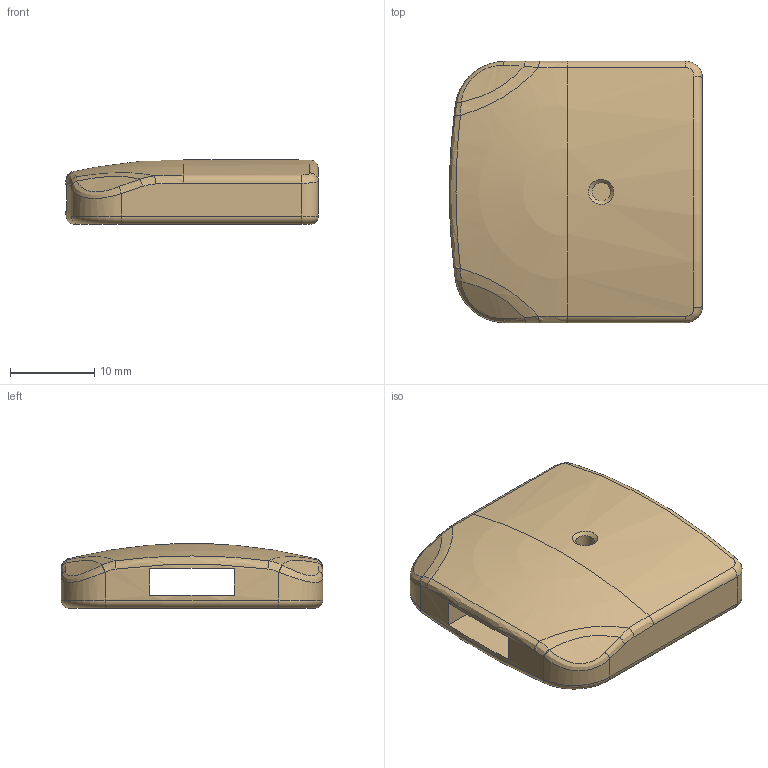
import cadquery as cq
import math

length = 30.0
width = 31.0
height = 7.7
nose_radius = 77.0
nose_corner_radius = 6.0
tail_corner_radius = 2.0
crown_radius = 60.0
crown_split_x = -1.0
rim_fillet = 1.0
base_fillet = 1.0

facet_point = (-10.0, 11.2, 5.95)
facet_heading = 57.5
facet_slope = 26.0
facet_radius = 18.0
facet_uphill_angle = math.radians(8.0)
facet_downhill_angle = math.radians(40.0)
facet_crease_fillet = 5.0

slot_width = 10.0
slot_height = 3.2
slot_floor = 1.55
hole_x = 3.0
hole_diameter = 2.2
hole_mouth_diameter = 3.0

nose_x = -length / 2
tail_x = length / 2
side_y = width / 2
tool_size = 4 * length


def plan_outline():
    """Closed plan outline: bulged nose, large nose corners, square tail corners."""
    corner_y = side_y - nose_corner_radius
    nose_center_x = nose_x + nose_radius
    center_gap = nose_radius - nose_corner_radius
    touch_angle = math.asin(corner_y / center_gap)
    corner_x = nose_center_x - center_gap * math.cos(touch_angle)
    touch_x = nose_center_x - nose_radius * math.cos(touch_angle)
    touch_y = nose_radius * math.sin(touch_angle)
    mid_angle = (touch_angle + math.pi / 2) / 2
    mid_x = corner_x - nose_corner_radius * math.cos(mid_angle)
    mid_y = corner_y + nose_corner_radius * math.sin(mid_angle)
    return (
        cq.Workplane("XY")
        .moveTo(touch_x, -touch_y)
        .threePointArc((nose_x, 0), (touch_x, touch_y))
        .threePointArc((mid_x, mid_y), (corner_x, side_y))
        .lineTo(tail_x, side_y)
        .lineTo(tail_x, -side_y)
        .lineTo(corner_x, -side_y)
        .threePointArc((mid_x, -mid_y), (touch_x, -touch_y))
        .close()
    )


def crown_profile(first_y, top_mid_y, last_y):
    """Upright section in the YZ plane at the split, closed at the top by the crown arc."""
    def crown_z(y):
        return height - crown_radius + math.sqrt(crown_radius**2 - y**2)

    return (
        cq.Workplane("YZ", origin=(crown_split_x, 0, 0))
        .moveTo(first_y, 0)
        .lineTo(first_y, crown_z(first_y))
        .threePointArc((top_mid_y, crown_z(top_mid_y)), (last_y, crown_z(last_y)))
        .lineTo(last_y, 0)
        .close()
    )


def crown():
    """Solid under the domed top: half a dome towards -X, a barrel towards +X."""
    reach = width
    barrel = crown_profile(-reach, 0, reach).extrude(length)
    dome = crown_profile(0, reach / 2, reach).revolve(180, (0, 0, 0), (0, 1, 0))
    return dome.union(barrel)


def facet_cutter(side):
    """Block above a facet; side is +1 for the +Y facet and -1 for the -Y facet."""
    def arc_point(angle):
        return facet_radius * math.sin(angle), facet_radius * (math.cos(angle) - 1)

    uphill_end = arc_point(-facet_uphill_angle)
    downhill_end = arc_point(facet_downhill_angle)
    block = (
        cq.Workplane("XZ")
        .moveTo(*uphill_end)
        .threePointArc((0, 0), downhill_end)
        .lineTo(downhill_end[0], tool_size)
        .lineTo(-tool_size, tool_size)
        .lineTo(-tool_size, uphill_end[1])
        .close()
        .extrude(tool_size / 2, both=True)
    )
    x, y, z = facet_point
    return (
        block.rotate((0, 0, 0), (0, 1, 0), facet_slope)
        .rotate((0, 0, 0), (0, 0, 1), side * (180 - facet_heading))
        .translate((x, side * y, z))
    )


def outer_body():
    """Outer form: outline under the crown, facets, and all rounded edges."""
    blank = plan_outline().extrude(height)
    blank = blank.edges("|Z and >X").fillet(tail_corner_radius)
    form = blank.intersect(crown())
    for side in (1, -1):
        form = form.cut(facet_cutter(side))
    for side in (1, -1):
        x, y, z = facet_point
        form = form.edges(cq.NearestToPointSelector((x, side * y, z))).fillet(facet_crease_fillet)
    form = form.faces("#Z").edges("(not |Z) and (not <Z)").fillet(rim_fillet)
    return form.faces("<Z").edges().fillet(base_fillet)


def slot_cutter():
    """Rectangular passage running the full length of the part."""
    return (
        cq.Workplane("XY", origin=(0, 0, slot_floor))
        .box(2 * length, slot_width, slot_height, centered=(True, True, False))
    )


def hole_cutter():
    """Countersunk hole from the crown down into the slot."""
    mouth_depth = (hole_mouth_diameter - hole_diameter) / 2
    drill_z = slot_floor + slot_height / 2
    return (
        cq.Workplane("XZ", origin=(hole_x, 0, 0))
        .moveTo(0, drill_z)
        .lineTo(hole_diameter / 2, drill_z)
        .lineTo(hole_diameter / 2, height - mouth_depth)
        .lineTo(hole_mouth_diameter / 2, height)
        .lineTo(0, height)
        .close()
        .revolve(360, (0, 0, 0), (0, 1, 0))
    )


result = outer_body().cut(slot_cutter()).cut(hole_cutter()).solids()